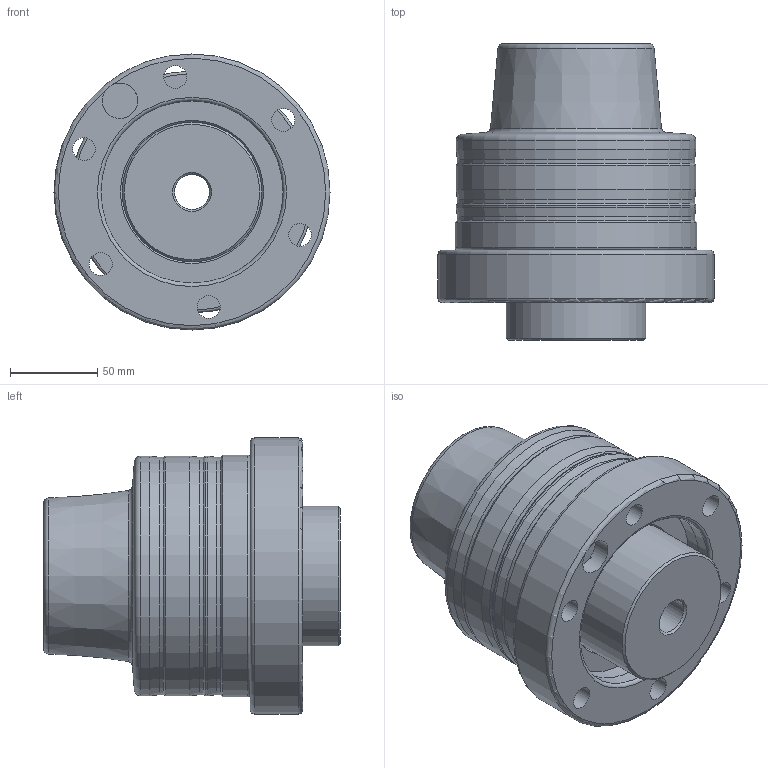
import cadquery as cq
import math


overall_length = 170.0
shaft_overhang = 21.6
back_y = overall_length - shaft_overhang

flange_radius = 158.23 / 2
flange_thickness = 30.0
flange_edge_fillet = 2.5
flange_bore_radius = 52.2
flange_mouth_fillet = 2.0

pitch_radius = 66.6
bolt_hole_count = 6
bolt_hole_diameter = 13.2
bolt_pitch_angle = 360.0 / bolt_hole_count
first_bolt_angle = 38.3
pin_hole_diameter = 20.3
pin_hole_depth = 10.0
pin_hole_angle = first_bolt_angle + 1.5 * bolt_pitch_angle

shaft_radius = 40.0
shaft_hole_diameter = 20.0
shaft_edge_chamfer = 1.2
shaft_hole_chamfer = 1.2

spigot_front_y = 9.5
spigot_radius = 56.0
recess_floor_y = 18.0
shaft_bore_chamfer = 1.0

collar_radius = 69.3
collar_back_y = 45.9
collar_front_fillet = 1.5
barrel_radius = 68.7
shoulder_edge_fillet = 3.5
shoulder_rim_y = 96.5
shoulder_rise = 1.0

groove_floor_radius = 68.0
groove_side_length = 1.15
groove_floor_length = 2.2
barrel_groove_backs = [64.9, 87.8]
groove_ramp_length = 5.8
collar_groove_ramp_length = 5.2

nose_root_y = 99.9
nose_root_radius = 49.0
nose_root_fillet = 3.0
nose_tip_radius = 44.8
nose_tip_fillet = 3.0


def make_revolved(profile):
    """Turn a closed (radius, Y) profile around the Y axis."""
    return profile.close().revolve(360, (0, 0, 0), (0, 1, 0))


def make_hole(diameter, angle, depth):
    """Cutter that enters the flange front face at an angle on the pitch circle."""
    x = pitch_radius * math.cos(math.radians(angle))
    z = pitch_radius * math.sin(math.radians(angle))
    return (
        cq.Workplane("XZ")
        .center(x, z)
        .circle(diameter / 2)
        .extrude(-depth)
    )


def make_flange():
    flange = make_revolved(
        cq.Workplane("XY")
        .moveTo(flange_bore_radius, 0)
        .lineTo(flange_radius, 0)
        .lineTo(flange_radius, flange_thickness)
        .lineTo(flange_bore_radius, flange_thickness)
    )
    rim = cq.selectors.RadiusNthSelector(-1)
    mouth = cq.selectors.RadiusNthSelector(0)
    flange = flange.edges("%CIRCLE").edges(rim).fillet(flange_edge_fillet)
    flange = flange.faces("<Y").edges(mouth).fillet(flange_mouth_fillet)

    spigot_seat = (
        cq.Workplane("XZ", origin=(0, spigot_front_y, 0))
        .circle(spigot_radius)
        .extrude(spigot_front_y - flange_thickness)
    )
    flange = flange.cut(spigot_seat)

    for index in range(bolt_hole_count):
        angle = first_bolt_angle + index * bolt_pitch_angle
        flange = flange.cut(make_hole(bolt_hole_diameter, angle, flange_thickness))
    return flange.cut(make_hole(pin_hole_diameter, pin_hole_angle, pin_hole_depth))


def add_groove(profile, back_y_of_groove, ramp_length):
    """Continue the barrel outline from the front side of a groove to its back."""
    floor_back_y = back_y_of_groove - ramp_length
    return (
        profile
        .lineTo(groove_floor_radius, floor_back_y - groove_floor_length)
        .lineTo(groove_floor_radius, floor_back_y)
        .lineTo(barrel_radius, back_y_of_groove)
    )


def make_sleeve():
    collar_groove_back_y = (
        collar_back_y + groove_side_length + groove_floor_length + collar_groove_ramp_length
    )
    profile = (
        cq.Workplane("XY")
        .moveTo(shaft_radius, back_y)
        .lineTo(shaft_radius, recess_floor_y + shaft_bore_chamfer)
        .lineTo(shaft_radius + shaft_bore_chamfer, recess_floor_y)
        .lineTo(flange_bore_radius, recess_floor_y)
        .lineTo(flange_bore_radius, spigot_front_y)
        .lineTo(spigot_radius, spigot_front_y)
        .lineTo(spigot_radius, flange_thickness)
        .lineTo(collar_radius - collar_front_fillet, flange_thickness)
        .radiusArc((collar_radius, flange_thickness + collar_front_fillet), -collar_front_fillet)
        .lineTo(collar_radius, collar_back_y)
    )
    profile = add_groove(profile, collar_groove_back_y, collar_groove_ramp_length)
    for groove_back_y in barrel_groove_backs:
        groove_length = groove_side_length + groove_floor_length + groove_ramp_length
        profile = profile.lineTo(barrel_radius, groove_back_y - groove_length)
        profile = add_groove(profile, groove_back_y, groove_ramp_length)
    profile = (
        profile
        .lineTo(barrel_radius, shoulder_rim_y - shoulder_edge_fillet)
        .radiusArc((barrel_radius - shoulder_edge_fillet, shoulder_rim_y), -shoulder_edge_fillet)
        .lineTo(nose_root_radius + nose_root_fillet, shoulder_rim_y + shoulder_rise)
        .radiusArc((nose_root_radius, nose_root_y), nose_root_fillet)
        .lineTo(nose_tip_radius, back_y - nose_tip_fillet)
        .radiusArc((nose_tip_radius - nose_tip_fillet, back_y), -nose_tip_fillet)
    )
    return make_revolved(profile)


def make_shaft():
    shaft = (
        cq.Workplane("XZ", origin=(0, back_y, 0))
        .circle(shaft_radius)
        .circle(shaft_hole_diameter / 2)
        .extrude(overall_length)
    )
    rim = cq.selectors.RadiusNthSelector(-1)
    hole_mouth = cq.selectors.RadiusNthSelector(0)
    shaft = shaft.faces("<Y").edges(rim).chamfer(shaft_edge_chamfer)
    return shaft.faces("<Y").edges(hole_mouth).chamfer(shaft_hole_chamfer)


flange = make_flange()
sleeve = make_sleeve()
shaft = make_shaft()

result = cq.Compound.makeCompound([flange.val(), sleeve.val(), shaft.val()])